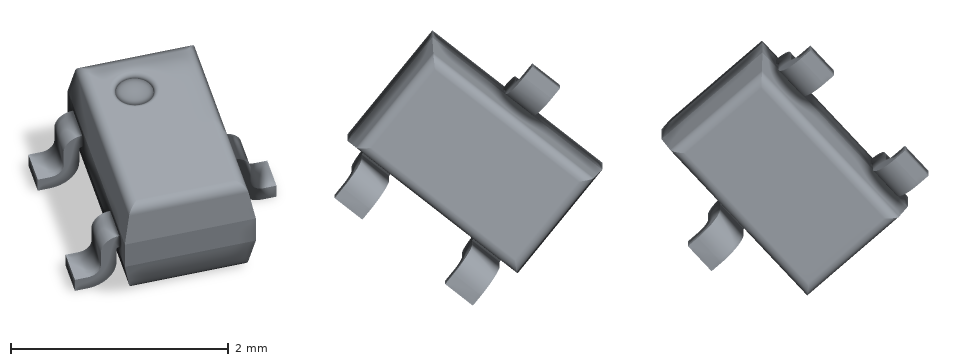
import cadquery as cq
import math

body_x = 2.0
body_y = 1.25
body_z = 1.1
band_height = 0.3
draft_angle = 10
rim_radius = 0.1
draft_height = (body_z - band_height) / 2

mark_x = -0.502
mark_y = -0.122
mark_radius = 0.176
mark_depth = 0.05

span_y = 2.1
lead_width = 0.325
lead_thickness = 0.15
lead_pitch = 1.3
upper_outer_radius = 0.178
lower_inner_radius = 0.124
upper_inner_radius = upper_outer_radius - lead_thickness
lower_outer_radius = lower_inner_radius + lead_thickness

diagonal = math.sqrt(0.5)


def drafted_half():
    """Upper or lower drafted block, standing on z = 0 with its rim rounded."""
    return (
        cq.Workplane("XY")
        .rect(body_x, body_y)
        .extrude(draft_height, taper=draft_angle)
        .faces(">Z")
        .edges()
        .fillet(rim_radius)
    )


def make_index_mark():
    """Cutter for the index mark: a disc flaring out in a quarter round to the top face."""
    floor_z = body_z - mark_depth
    lip_radius = mark_radius + mark_depth
    lip_offset = mark_depth * diagonal
    return (
        cq.Workplane("XZ")
        .moveTo(0, floor_z)
        .lineTo(mark_radius, floor_z)
        .threePointArc((lip_radius - lip_offset, floor_z + lip_offset), (lip_radius, body_z))
        .lineTo(0, body_z)
        .close()
        .revolve(360, (0, 0, 0), (0, 1, 0))
        .translate((mark_x, mark_y, 0))
    )


def make_housing():
    band = cq.Workplane("XY").box(body_x, body_y, band_height).translate((0, 0, body_z / 2))
    upper = drafted_half().translate((0, 0, body_z - draft_height))
    lower = drafted_half().mirror("XY").translate((0, 0, draft_height))
    return band.union(upper).union(lower).cut(make_index_mark())


def make_lead(center_x, side):
    """One lead butting against the housing; side is +1 for the +Y side, -1 for the -Y side."""
    root_y = body_y / 2
    root_top = (body_z + lead_thickness) / 2
    root_bottom = root_top - lead_thickness
    upper_bend_z = root_top - upper_outer_radius
    outer_y = root_y + upper_outer_radius
    inner_y = outer_y - lead_thickness
    lower_bend_y = outer_y + lower_inner_radius
    tip_y = span_y / 2

    upper_outer_mid = (root_y + upper_outer_radius * diagonal, upper_bend_z + upper_outer_radius * diagonal)
    upper_inner_mid = (root_y + upper_inner_radius * diagonal, upper_bend_z + upper_inner_radius * diagonal)
    lower_inner_mid = (
        lower_bend_y - lower_inner_radius * diagonal,
        lower_outer_radius - lower_inner_radius * diagonal,
    )
    lower_outer_mid = (
        lower_bend_y - lower_outer_radius * diagonal,
        lower_outer_radius - lower_outer_radius * diagonal,
    )

    lead = (
        cq.Workplane("YZ")
        .moveTo(root_y, root_top)
        .threePointArc(upper_outer_mid, (outer_y, upper_bend_z))
        .lineTo(outer_y, lower_outer_radius)
        .threePointArc(lower_inner_mid, (lower_bend_y, lead_thickness))
        .lineTo(tip_y, lead_thickness)
        .lineTo(tip_y, 0)
        .lineTo(lower_bend_y, 0)
        .threePointArc(lower_outer_mid, (inner_y, lower_outer_radius))
        .lineTo(inner_y, upper_bend_z)
        .threePointArc(upper_inner_mid, (root_y, root_bottom))
        .close()
        .extrude(lead_width / 2, both=True)
    )
    if side < 0:
        lead = lead.mirror("XZ")
    return lead.translate((center_x, 0, 0))


housing = make_housing()
lead_places = [(-lead_pitch / 2, -1), (lead_pitch / 2, -1), (0, 1)]
leads = [make_lead(center_x, side) for center_x, side in lead_places]

result = cq.Compound.makeCompound([housing.solids().val(), *[lead.solids().val() for lead in leads]])